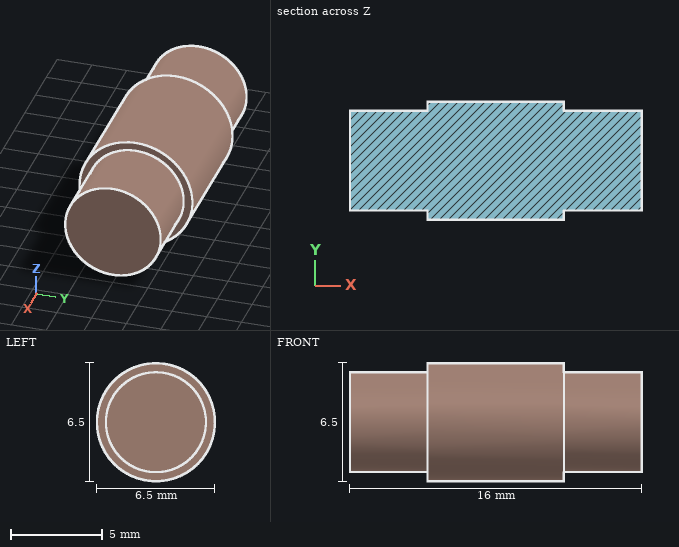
import cadquery as cq

total_length = 16.04
collar_start = 4.25
collar_length = 7.5
collar_radius = 6.5 / 2
journal_radius = 5.5 / 2

collar_end = collar_start + collar_length

half_section = (
    cq.Workplane("XZ")
    .moveTo(0, 0)
    .lineTo(0, journal_radius)
    .lineTo(collar_start, journal_radius)
    .lineTo(collar_start, collar_radius)
    .lineTo(collar_end, collar_radius)
    .lineTo(collar_end, journal_radius)
    .lineTo(total_length, journal_radius)
    .lineTo(total_length, 0)
    .close()
)

result = half_section.revolve(360, (0, 0, 0), (1, 0, 0))